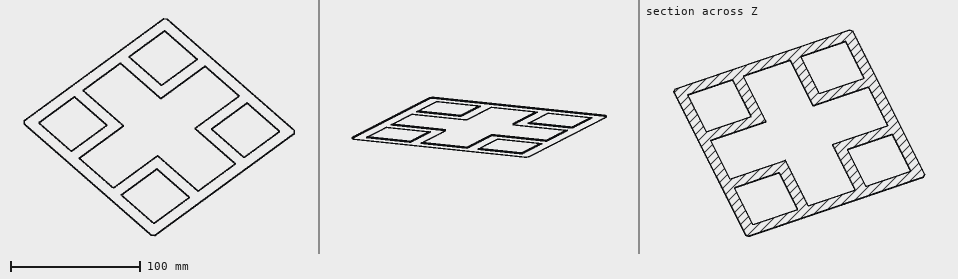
import cadquery as cq

side = 150.0
thickness = 1.0
corner_chamfer = 2.0

bar_width = 9.0
cross_width = 39.2

opening_span = side - 2 * bar_width
window_side = (opening_span - cross_width) / 2 - bar_width
window_offset = (opening_span - window_side) / 2


def make_plate():
    """Thin square plate with chamfered corners, resting on Z = 0."""
    plate = cq.Workplane("XY").rect(side, side).extrude(thickness)
    return plate.edges("|Z").chamfer(corner_chamfer)


def make_corner_windows():
    """Four square through openings, one near each corner."""
    centers = [(sx * window_offset, sy * window_offset) for sx in (-1, 1) for sy in (-1, 1)]
    return cq.Workplane("XY").pushPoints(centers).rect(window_side, window_side).extrude(thickness)


def make_cross_opening():
    """Central plus-shaped opening reaching the outer border on all sides."""
    arm_along_x = cq.Workplane("XY").rect(opening_span, cross_width).extrude(thickness)
    arm_along_y = cq.Workplane("XY").rect(cross_width, opening_span).extrude(thickness)
    return arm_along_x.union(arm_along_y)


result = make_plate().cut(make_corner_windows()).cut(make_cross_opening())